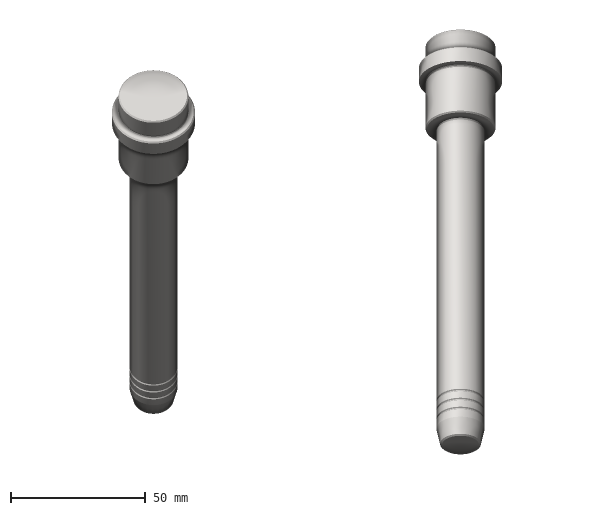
import cadquery as cq

total_length = 171.0
shank_radius = 18.0 / 2
head_radius = 26.0 / 2
collar_radius = 31.0 / 2

head_bottom = 135.5
collar_bottom = 155.8
collar_top = 162.1
edge_chamfer = 0.5

groove_width = 1.0
groove_depth = 0.3
floor_width = 0.3

ring_count = 3
lowest_ring_bottom = 10.3
ring_span = 7.7
ring_pitch = ring_span / (ring_count - 1)

taper_height = 7.0
tip_radius = 14.9 / 2
tip_chamfer = 0.5


def cylinder(radius, bottom, top):
    return cq.Workplane("XY").workplane(offset=bottom).circle(radius).extrude(top - bottom)


def square_groove(surface_radius, bottom):
    """Ring-shaped cutter with straight walls."""
    top = bottom + groove_width
    cutter = cylinder(surface_radius + groove_depth, bottom, top)
    return cutter.cut(cylinder(surface_radius - groove_depth, bottom, top))


def sloped_groove(surface_radius, bottom):
    """Ring-shaped cutter with sloping walls and a narrow flat floor."""
    top = bottom + groove_width
    wall_height = (groove_width - floor_width) / 2
    floor_radius = surface_radius - groove_depth
    outer_radius = surface_radius + groove_depth
    profile = [
        (outer_radius, bottom),
        (surface_radius, bottom),
        (floor_radius, bottom + wall_height),
        (floor_radius, top - wall_height),
        (surface_radius, top),
        (outer_radius, top),
    ]
    return cq.Workplane("XZ").polyline(profile).close().revolve(360, (0, 0, 0), (0, 1, 0))


tip = (
    cq.Workplane("XY")
    .circle(tip_radius)
    .workplane(offset=taper_height)
    .circle(shank_radius)
    .loft(ruled=True)
    .faces("<Z")
    .chamfer(tip_chamfer)
)

shank = cylinder(shank_radius, taper_height, head_bottom)
head = cylinder(head_radius, head_bottom, total_length).edges("%CIRCLE").chamfer(edge_chamfer)
for groove_bottom in (collar_bottom - groove_width, collar_top):
    head = head.cut(sloped_groove(head_radius, groove_bottom))
collar = cylinder(collar_radius, collar_bottom, collar_top).faces(">Z").chamfer(edge_chamfer)
body = tip.union(shank).union(head).union(collar)

body = body.cut(square_groove(shank_radius, head_bottom - groove_width))

for index in range(ring_count):
    body = body.cut(sloped_groove(shank_radius, lowest_ring_bottom + index * ring_pitch))

result = body